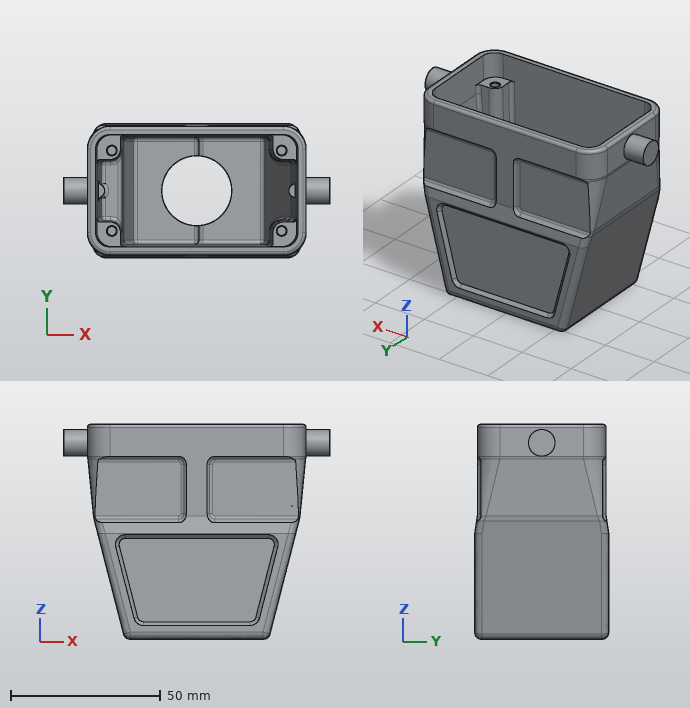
import cadquery as cq
import math

total_height = 72.1
rim_bottom_z = 61.3
waist_top_z = 60.4
shoulder_top_z = 41.4
bend_bottom_z = 39.6
shoulder_bottom_z = 35.5

overall_length = 89.2
rim_half_x = 36.7
rim_half_y = 21.6
base_half_x = 24.1
base_half_y = 22.5
waist_top_half_x = 36.5
shoulder_half_x = 34.6
bend_half_x = 34.25
rim_corner_radius = 7.6
edge_radius = 2.5
base_fillet = 2.4
rim_edge_radius = 1.2

wall = 2.8
cavity_kink_z = 59.7
cavity_bend_z = 40.1
cavity_kink_half_x = 33.3
cavity_bend_half_x = 31.5
cavity_floor_half_x = 21.8
cavity_floor_half_y = 17.8
low_floor_z = 2.0
high_floor_z = 5.0
floor_step_x = 0.7
floor_fillet = 1.4
cable_hole_radius = 11.7

ledge_z = 42.8
block_foot_x = 21.0
block_knee_z = 14.8
ledge_fillet = 1.3

post_top_z = 63.0
post_x = 28.45
post_y = 13.5
post_face_x = 25.6
post_face_y = 10.5
post_draft = 1.5
post_radius = 3.2
post_fillet = 1.3
screw_radius = 1.5
screw_depth = 17.8
screw_chamfer = 0.3

key_radius = 2.3
key_axis_x = 33.2
key_top_z = 54.8
key_fillet = 1.3

pin_radius = 4.5
pin_z = 65.8

panel_depth = 1.25
panel_taper = 45
waist_panel_x = 4.7
waist_panel_bottom_z = 40.7
waist_panel_top_z = 60.0
waist_panel_fillet = 1.3
waist_panel_radius = 1.4
waist_panel_run_out = 53.5
logo_panel_bottom_z = 5.9
logo_panel_top_z = 33.8
logo_panel_top_half_x = 26.6
logo_panel_radius = 2.05

end_slope = (bend_half_x - base_half_x) / bend_bottom_z
overcut = 0.9
margin = 0.9


def between(z, z_start, z_end, start, end):
    """Value at height z on the straight line from start to end."""
    return start + (end - start) * (z - z_start) / (z_end - z_start)


def zone(low, high):
    """Selects edges whose middle lies in the box between two opposite corners."""
    return cq.selectors.BoxSelector(low, high)


def rounded_section(z, half_x, half_y, radius=0):
    section = cq.Sketch().rect(2 * half_x, 2 * half_y)
    if radius:
        section = section.vertices().fillet(radius)
    return section.moved(cq.Location(cq.Vector(0, 0, z)))


def stacked_loft(sections):
    """Straight-sided body through sections listed from top to bottom."""
    body = None
    for upper, lower in zip(sections, sections[1:]):
        layer = (
            cq.Workplane()
            .placeSketch(rounded_section(*lower), rounded_section(*upper))
            .loft(ruled=True)
        )
        body = layer if body is None else body.union(layer)
    return body


def make_shell():
    waist = (waist_top_z, bend_bottom_z)
    swell = (shoulder_top_z, shoulder_bottom_z)
    shoulder_radius = between(shoulder_top_z, *waist, rim_corner_radius, edge_radius)
    bend_half_y = between(bend_bottom_z, *swell, rim_half_y, base_half_y)
    lower_half_x = base_half_x + end_slope * shoulder_bottom_z
    shell = stacked_loft([
        (total_height, rim_half_x, rim_half_y, rim_corner_radius),
        (rim_bottom_z, rim_half_x, rim_half_y, rim_corner_radius),
        (waist_top_z, waist_top_half_x, rim_half_y, rim_corner_radius),
        (shoulder_top_z, shoulder_half_x, rim_half_y, shoulder_radius),
        (bend_bottom_z, bend_half_x, bend_half_y, edge_radius),
        (shoulder_bottom_z, lower_half_x, base_half_y, edge_radius),
        (0, base_half_x, base_half_y, edge_radius),
    ])
    shell = shell.faces("<Z").edges().fillet(base_fillet)
    return shell.faces(">Z").edges().fillet(rim_edge_radius)


def make_pins():
    return (
        cq.Workplane("YZ", origin=(-overall_length / 2, 0, pin_z))
        .circle(pin_radius)
        .extrude(overall_length)
    )


def make_waist_panel():
    """Cutter for one recess beside the middle rib on the -Y side."""
    length = waist_panel_run_out - waist_panel_x
    height = waist_panel_top_z - waist_panel_bottom_z
    centre = cq.Vector(waist_panel_x + length / 2, waist_panel_bottom_z + height / 2)
    outline = cq.Sketch().rect(length, height).vertices().fillet(waist_panel_radius)
    return (
        cq.Workplane("XZ", origin=(0, -rim_half_y + panel_depth, 0))
        .placeSketch(outline.moved(cq.Location(centre)))
        .extrude(panel_depth + overcut, taper=-panel_taper)
        .faces(">Y")
        .edges()
        .fillet(waist_panel_fillet)
    )


def make_logo_panel():
    """Cutter for the wedge-shaped recess low on the -Y side."""
    bottom_half_x = logo_panel_top_half_x - end_slope * (logo_panel_top_z - logo_panel_bottom_z)
    corners = [
        (-bottom_half_x, logo_panel_bottom_z),
        (bottom_half_x, logo_panel_bottom_z),
        (logo_panel_top_half_x, logo_panel_top_z),
        (-logo_panel_top_half_x, logo_panel_top_z),
        (-bottom_half_x, logo_panel_bottom_z),
    ]
    return (
        cq.Workplane("XZ", origin=(0, -base_half_y + panel_depth, 0))
        .placeSketch(cq.Sketch().polygon(corners).vertices().fillet(logo_panel_radius))
        .extrude(panel_depth + overcut, taper=-panel_taper)
    )


def end_profile(points, half_y):
    """XZ outline carried symmetrically across the cavity."""
    return cq.Workplane("XZ").polyline(points).close().extrude(half_y, both=True)


def make_cavity():
    """Inner space before the posts and keys are left standing in it."""
    radius = rim_corner_radius - wall
    top_half_y = rim_half_y - wall

    def half_y(z):
        return between(z, total_height, low_floor_z, top_half_y, cavity_floor_half_y)

    mouth = stacked_loft([
        (total_height, rim_half_x - wall, top_half_y, radius),
        (cavity_kink_z, cavity_kink_half_x, half_y(cavity_kink_z), radius),
    ])
    well = stacked_loft([
        (cavity_kink_z, cavity_kink_half_x, half_y(cavity_kink_z)),
        (cavity_bend_z, cavity_bend_half_x, half_y(cavity_bend_z)),
        (low_floor_z, cavity_floor_half_x, cavity_floor_half_y),
    ])
    high_floor = end_profile([
        (floor_step_x, 0),
        (rim_half_x, 0),
        (rim_half_x, high_floor_z),
        (floor_step_x, high_floor_z),
    ], base_half_y)
    block = end_profile([
        (-rim_half_x, 0),
        (-block_foot_x, 0),
        (-block_foot_x, low_floor_z),
        (-drafted_face_x(block_knee_z), block_knee_z),
        (-drafted_face_x(ledge_z), ledge_z),
        (-rim_half_x, ledge_z),
    ], base_half_y)
    well = well.cut(high_floor).cut(block)
    floor_zone = zone(
        (-rim_half_x, -rim_half_y, 0),
        (rim_half_x, rim_half_y, cavity_bend_z - margin),
    )
    ledge_zone = zone(
        (-rim_half_x, -margin, ledge_z - margin),
        (0, margin, ledge_z + margin),
    )
    well = well.edges(floor_zone).fillet(floor_fillet)
    well = well.edges(ledge_zone).fillet(ledge_fillet)
    return mouth.union(well)


def four_corners(body):
    pair = body.union(body.mirror("YZ"))
    return pair.union(pair.mirror("XZ"))


def drafted_face_x(z):
    """Distance of the inner post faces from the middle at height z."""
    return post_face_x - (post_top_z - z) * math.tan(math.radians(post_draft))


def make_post():
    """Post in the +X +Y corner, reaching past the cavity wall on its outer sides."""
    outline = (
        cq.Sketch()
        .push([(post_face_x + rim_half_x / 2, post_face_y + rim_half_y / 2)])
        .rect(rim_half_x, rim_half_y)
        .reset()
        .vertices("<X and <Y")
        .fillet(post_radius)
    )
    return (
        cq.Workplane("XY", origin=(0, 0, post_top_z))
        .placeSketch(outline)
        .extrude(-post_top_z, taper=-post_draft)
    )


def make_screw_hole():
    hole = (
        cq.Workplane("XY", origin=(post_x, post_y, post_top_z))
        .circle(screw_radius)
        .extrude(-screw_depth)
    )
    mouth = (
        cq.Workplane("XY", origin=(post_x, post_y, post_top_z))
        .circle(screw_radius + screw_chamfer)
        .extrude(-screw_chamfer, taper=45)
    )
    return hole.union(mouth)


def cut_posts(cavity):
    """Leave the four posts standing, with rounded feet where they meet the walls."""
    cavity = cavity.cut(four_corners(make_post()))
    foot_top_z = post_top_z - margin
    for side in (-1, 1):
        end_wall_y = side * post_face_y
        long_wall_y = side * (rim_half_y - wall)
        beside_end_wall = zone(
            (-rim_half_x, end_wall_y - margin, 0),
            (rim_half_x, end_wall_y + margin, foot_top_z),
        )
        beside_long_wall = zone(
            (-post_face_x - margin, long_wall_y - margin, ledge_z + margin),
            (-post_face_x + margin, long_wall_y + margin, foot_top_z),
        )
        cavity = cavity.edges(beside_end_wall + beside_long_wall).fillet(post_fillet)
    return cavity


def cut_keys(cavity):
    """Leave a half-round key on each end wall; the one above the ledge has a rounded foot."""
    key = cq.Workplane("XY", origin=(key_axis_x, 0, 0)).circle(key_radius).extrude(key_top_z)
    cavity = cavity.cut(key).cut(key.mirror("YZ"))
    foot_edges = zone(
        (-rim_half_x, -key_radius - margin, ledge_z - margin),
        (-post_x, key_radius + margin, key_top_z - margin),
    )
    return cavity.edges(foot_edges).fillet(key_fillet)


cavity = make_cavity()
cavity = cut_posts(cavity)
cavity = cut_keys(cavity)
cavity = cavity.union(four_corners(make_screw_hole()))

logo_panel = make_logo_panel()
cable_hole = cq.Workplane("XY").circle(cable_hole_radius).extrude(high_floor_z + overcut)

result = (
    make_shell()
    .union(make_pins())
    .cut(four_corners(make_waist_panel()))
    .cut(logo_panel)
    .cut(logo_panel.mirror("XZ"))
    .cut(cavity)
    .cut(cable_hole)
)